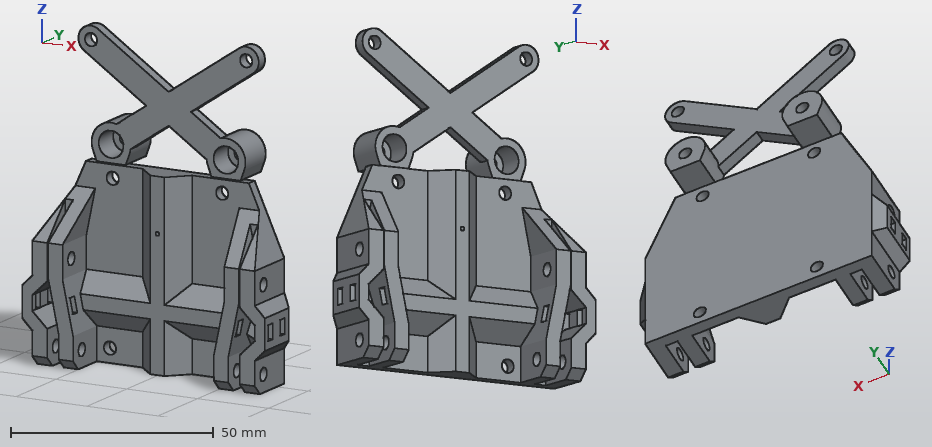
import cadquery as cq
import math


overall_width = 68.5
plate_height = 50.5
plate_thickness = 3.0
plate_top_half_width = 23.0
flange_half_width = 31.4
flange_depth = 15.0
slope_start_z = 31.8
bottom_chamfer = 2.6

rib_height = 5.0
rib_tip_width = 4.0
cross_rib_z = 16.0

wall_thickness = 4.25
pocket_mouth_half = 6.0
pocket_floor_rise = 1.95
web_depth = 5.85

inner_wall_width = 4.1
inner_wall_top_x = plate_top_half_width
inner_wall_mid_x = 26.9
inner_wall_bottom_x = 23.9

hole_d = 3.4
upper_plate_hole = (15.45, 47.0)
lower_plate_hole = (16.2, 3.8)
flange_hole_y = -10.6
flange_hole_zs = (4.7, 27.4)
slot_width = 2.2
slot_height = 4.1
front_slot_y = -12.05
rear_slot_y = -6.0

pin_d = 1.0
pin_length = 2.55
pin_z = 35.9

link_top_z = 84.9
link_thickness = 3.2
link_front_y = -2.4
arm_radius = 3.6
arm_tip_x = 21.9
boss_radius = 5.5
boss_x = 16.2
boss_z = 55.4
boss_foot_z = 50.7
boss_tangent_deg = 20.5
boss_length = 10.3
bore_d = 7.0
bore_depth = 7.3

plate_front_y = -plate_thickness
rib_tip_y = plate_front_y - rib_height
inner_face_x = flange_half_width - wall_thickness
bulge_rise = overall_width / 2 - flange_half_width
cross_rib_base_half = rib_tip_width / 2 + rib_height
cross_rib_bottom_z = cross_rib_z - cross_rib_base_half
cross_rib_top_z = cross_rib_z + cross_rib_base_half


def extrude_front(outline, depth):
    """Extrude a closed (x, z) outline from Y = 0 forward by depth."""
    return cq.Workplane("XZ").polyline(outline).close().extrude(depth)


def mirrored(solid):
    """The solid together with its mirror copy across X = 0."""
    return solid.union(solid.mirror("YZ"))


def cylinder_y(x, z, diameter, front_y, length):
    """Cylinder along +Y that starts at front_y."""
    return cq.Workplane("XZ", origin=(x, front_y, z)).circle(diameter / 2).extrude(-length)


def base_plate():
    """Flat plate whose side edges taper towards the top."""
    outline = [
        (-flange_half_width, 0),
        (flange_half_width, 0),
        (flange_half_width, slope_start_z),
        (plate_top_half_width, plate_height),
        (-plate_top_half_width, plate_height),
        (-flange_half_width, slope_start_z),
    ]
    return extrude_front(outline, plate_thickness)


def upright_rib():
    """Trapezoidal rib over the full height of the plate."""
    tip_half = rib_tip_width / 2
    base_half = tip_half + rib_height
    section = [
        (-base_half, plate_front_y),
        (base_half, plate_front_y),
        (tip_half, rib_tip_y),
        (-tip_half, rib_tip_y),
    ]
    return cq.Workplane("XY").polyline(section).close().extrude(plate_height)


def cross_rib():
    """Cross rib whose 45 degree ends run down to the floors of the bulge pockets."""
    tip_half = rib_tip_width / 2
    section = [
        (plate_front_y, cross_rib_bottom_z),
        (plate_front_y, cross_rib_top_z),
        (rib_tip_y, cross_rib_z + tip_half),
        (rib_tip_y, cross_rib_z - tip_half),
    ]
    bar = cq.Workplane("YZ").polyline(section).close().extrude(flange_half_width, both=True)
    floor_y = plate_front_y - pocket_floor_rise
    tip_x = inner_face_x - (rib_height - pocket_floor_rise)
    plan = [
        (-flange_half_width, 0),
        (flange_half_width, 0),
        (flange_half_width, floor_y),
        (inner_face_x, floor_y),
        (tip_x, rib_tip_y),
        (-tip_x, rib_tip_y),
        (-inner_face_x, floor_y),
        (-flange_half_width, floor_y),
    ]
    return bar.intersect(cq.Workplane("XY").polyline(plan).close().extrude(plate_height))


def outer_wall():
    """Outer flange wall on the +X side, before its side profile is trimmed."""
    bulge_x = flange_half_width + bulge_rise
    pocket_half = rib_tip_width / 2
    edge_slope = (flange_half_width - plate_top_half_width) / (plate_height - slope_start_z)
    inner_face_top_z = slope_start_z + wall_thickness / edge_slope
    outline = [
        (inner_face_x, 0),
        (flange_half_width, 0),
        (flange_half_width, cross_rib_bottom_z),
        (bulge_x, cross_rib_bottom_z + bulge_rise),
        (bulge_x, cross_rib_top_z - bulge_rise),
        (flange_half_width, cross_rib_top_z),
        (flange_half_width, slope_start_z),
        (inner_face_x, inner_face_top_z),
        (inner_face_x, cross_rib_z + pocket_mouth_half),
        (flange_half_width, cross_rib_z + pocket_half),
        (flange_half_width, cross_rib_z - pocket_half),
        (inner_face_x, cross_rib_z - pocket_mouth_half),
    ]
    back_chamfer = (
        cq.Workplane("XY")
        .polyline([(flange_half_width, 0), (bulge_x, 0), (bulge_x, -bulge_rise)])
        .close()
        .extrude(plate_height)
    )
    return extrude_front(outline, flange_depth).cut(back_chamfer)


def web():
    """Shallow web along the tapered edge that closes the gap between the two walls."""
    outline = [
        (flange_half_width, slope_start_z),
        (plate_top_half_width, plate_height),
        (plate_top_half_width - wall_thickness, plate_height),
        (inner_face_x, slope_start_z),
    ]
    return extrude_front(outline, web_depth)


def inner_wall():
    """Inner flange wall on the +X side, before its side profile is trimmed."""
    outer_face = [
        (inner_wall_bottom_x, 0),
        (inner_wall_bottom_x, cross_rib_bottom_z),
        (inner_wall_mid_x, cross_rib_top_z),
        (inner_wall_mid_x, slope_start_z),
        (inner_wall_top_x, plate_height),
    ]
    inner_face = [(x - inner_wall_width, z) for x, z in reversed(outer_face)]
    return extrude_front(outer_face + inner_face, flange_depth)


def flange():
    """Both walls and the web of the +X flange, trimmed to the sloped side profile."""
    profile = [
        (0, 0),
        (bottom_chamfer - flange_depth, 0),
        (-flange_depth, bottom_chamfer),
        (-flange_depth, slope_start_z),
        (plate_front_y, slope_start_z + flange_depth - plate_thickness),
        (plate_front_y, plate_height),
        (0, plate_height),
    ]
    envelope = cq.Workplane("YZ").polyline(profile).close().extrude(2 * flange_half_width)
    return outer_wall().union(web()).union(inner_wall()).intersect(envelope)


def flange_cuts():
    """Cross holes and slots of the +X flange."""
    start_x = flange_half_width / 2
    through_length = flange_half_width
    hole_centers = [(flange_hole_y, z) for z in flange_hole_zs]
    side = cq.Workplane("YZ", origin=(start_x, 0, 0))
    holes = side.pushPoints(hole_centers).circle(hole_d / 2).extrude(through_length)
    front_slot = side.center(front_slot_y, cross_rib_z).rect(slot_width, slot_height).extrude(through_length)
    rear_slot = (
        cq.Workplane("YZ", origin=(flange_half_width, 0, 0))
        .center(rear_slot_y, cross_rib_z)
        .rect(slot_width, slot_height)
        .extrude(2 * bulge_rise)
    )
    return holes.union(front_slot).union(rear_slot)


def make_bracket():
    """Plate, ribs and both flanges, with all holes and the seat of the pin."""
    body = base_plate().union(upright_rib()).union(cross_rib())
    body = body.union(mirrored(flange())).cut(mirrored(flange_cuts()))
    for x, z in (upper_plate_hole, lower_plate_hole):
        body = body.cut(mirrored(cylinder_y(x, z, hole_d, plate_front_y, plate_thickness)))
    return body.cut(make_pin())


def make_pin():
    """Small pin set flush in the front of the upright rib."""
    return cylinder_y(0, pin_z, pin_d, rib_tip_y, pin_length)


def link_arm():
    """Round-ended arm from the +X boss to the tip on the -X side."""
    tip_z = link_top_z - arm_radius
    run_x = boss_x + arm_tip_x
    run_z = tip_z - boss_z
    return (
        cq.Workplane("XZ", origin=((boss_x - arm_tip_x) / 2, link_front_y, (tip_z + boss_z) / 2))
        .transformed(rotate=(0, 0, math.degrees(math.atan2(run_z, -run_x))))
        .slot2D(math.hypot(run_x, run_z) + 2 * arm_radius, 2 * arm_radius)
        .extrude(-link_thickness)
    )


def link_boss():
    """Boss on the +X side: a cylinder whose sides run tangent to a flat foot."""
    foot_drop = boss_z - boss_foot_z
    tangent_angle = math.radians(boss_tangent_deg)
    tangent_x = boss_radius * math.cos(tangent_angle)
    tangent_drop = boss_radius * math.sin(tangent_angle)
    foot_half = tangent_x - (foot_drop - tangent_drop) * math.tan(tangent_angle)
    return (
        cq.Workplane("XZ", origin=(boss_x, link_front_y, boss_z))
        .moveTo(-foot_half, -foot_drop)
        .lineTo(foot_half, -foot_drop)
        .lineTo(tangent_x, -tangent_drop)
        .threePointArc((0, boss_radius), (-tangent_x, -tangent_drop))
        .close()
        .extrude(-boss_length)
    )


def make_link():
    """Two crossed arms with counterbored bosses at their lower ends."""
    body = mirrored(link_arm().union(link_boss()))
    tip_hole = cylinder_y(arm_tip_x, link_top_z - arm_radius, hole_d, link_front_y, link_thickness)
    boss_hole = cylinder_y(boss_x, boss_z, hole_d, link_front_y, boss_length)
    boss_bore = cylinder_y(boss_x, boss_z, bore_d, link_front_y, bore_depth)
    return body.cut(mirrored(tip_hole)).cut(mirrored(boss_hole.union(boss_bore)))


bracket = make_bracket()
pin = make_pin()
link = make_link()

result = cq.Compound.makeCompound([body.solids().val() for body in (bracket, pin, link)])